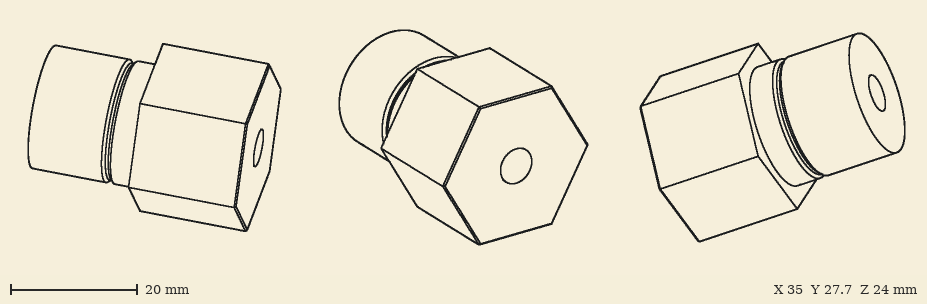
import cadquery as cq
import math

total_length = 35.0
head_length = total_length / 2
spigot_length = total_length - head_length

across_flats = 24.0
across_corners = across_flats / math.cos(math.radians(30))
head_chamfer = 0.25

spigot_diameter = 19.8
bore_diameter = 6.0

groove_start = 12.0
groove_depth = 0.5
groove_floor_width = 0.5


def make_spigot():
    """Turned spigot with its groove, from x = 0 to the head."""
    outer_radius = spigot_diameter / 2
    floor_radius = outer_radius - groove_depth
    floor_start = groove_start + groove_depth
    floor_end = floor_start + groove_floor_width
    groove_end = floor_end + groove_depth
    profile = (
        cq.Workplane("XY")
        .moveTo(0, 0)
        .lineTo(0, outer_radius)
        .lineTo(groove_start, outer_radius)
        .lineTo(floor_start, floor_radius)
        .lineTo(floor_end, floor_radius)
        .lineTo(groove_end, outer_radius)
        .lineTo(spigot_length, outer_radius)
        .lineTo(spigot_length, 0)
        .close()
    )
    return profile.revolve(360, (0, 0, 0), (1, 0, 0))


def make_head():
    """Hexagonal head, chamfered around its +X end face."""
    hexagon = cq.Workplane("YZ", origin=(spigot_length, 0, 0)).polygon(6, across_corners)
    return hexagon.extrude(head_length).faces(">X").edges().chamfer(head_chamfer)


def make_bore():
    """Cylinder that clears the bore along the full length."""
    return cq.Workplane("YZ").circle(bore_diameter / 2).extrude(total_length)


result = make_spigot().union(make_head()).cut(make_bore())